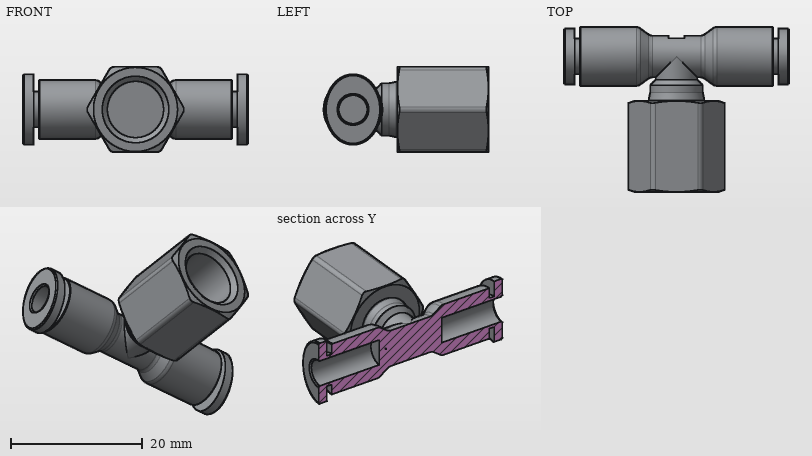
import cadquery as cq
import math

run_half_length = 17.1
collar_thickness = 1.6
collar_half_width = 4.28
collar_half_height = 5.37
collar_chamfer = 0.2
neck_radius = 2.75
body_diameter = 9.0
body_radius = body_diameter / 2
body_end = 14.67
body_chamfer = 0.1
shoulder_start = 4.0
shoulder_end = 5.8
shoulder_blend = 1.03
middle_radius = 3.18
tube_bore_radius = 2.15
tube_bore_chamfer = 0.25
tube_bore_floor = shoulder_end

notch_width = 2.4
notch_depth = 0.38

stem_cone_start = 3.52
stem_radius = 4.0
stem_cone_end = 4.35
stem_taper_start = 5.4
stem_taper_end = 6.53
stem_taper_radius = 4.25

nut_start = 6.75
overall_depth = 25.1
nut_end = overall_depth - body_radius
nut_across_flats = 13.0
nut_edge_fillet = 0.9
nut_face_radius = 6.4
nut_bevel_angle = 20.0
nut_bore_radius = 4.28
nut_bore_chamfer = 0.8
nut_bore_depth = 10.0


def make_run():
    """Middle tube, conical shoulders, bodies and necks turned about X."""
    neck_end = run_half_length - collar_thickness / 2
    half = [
        (shoulder_start, middle_radius),
        (shoulder_end, body_radius),
        (body_end - body_chamfer, body_radius),
        (body_end, body_radius - body_chamfer),
        (body_end, neck_radius),
        (neck_end, neck_radius),
        (neck_end, 0),
    ]
    mirrored = [(-x, r) for x, r in reversed(half)]
    turned = cq.Workplane("XY").polyline(mirrored + half).close()
    turned = turned.revolve(360, (0, 0, 0), (1, 0, 0))
    pick_margin = 0.05
    for x, r in ((shoulder_start, middle_radius), (shoulder_end, body_radius)):
        for side in (-1, 1):
            box = cq.selectors.BoxSelector(
                (side * x - pick_margin, -r - pick_margin, -r - pick_margin),
                (side * x + pick_margin, r + pick_margin, r + pick_margin),
                boundingbox=True,
            )
            turned = turned.edges(box).fillet(shoulder_blend)
    return turned


def make_collar():
    """Oval release collar at the +X end."""
    return (
        cq.Workplane("YZ", origin=(run_half_length - collar_thickness, 0, 0))
        .ellipse(collar_half_width, collar_half_height)
        .extrude(collar_thickness)
        .faces(">X")
        .chamfer(collar_chamfer)
    )


def make_tube_bore():
    """Blind tube socket with a chamfered mouth at the +X end."""
    mouth = run_half_length - tube_bore_chamfer
    profile = [
        (tube_bore_floor, 0),
        (tube_bore_floor, tube_bore_radius),
        (mouth, tube_bore_radius),
        (run_half_length, tube_bore_radius + tube_bore_chamfer),
        (run_half_length, 0),
    ]
    return cq.Workplane("XY").polyline(profile).close().revolve(360, (0, 0, 0), (1, 0, 0))


def turn_about_y(profile):
    """Revolve (radius, distance from the run axis) points about the branch axis."""
    points = [(radius, -distance) for radius, distance in profile]
    return cq.Workplane("XY").polyline(points).close().revolve(360, (0, 0, 0), (0, 1, 0))


def make_stem():
    """Branch stem; its straight root meets the equal middle tube in a mitre."""
    return turn_about_y([
        (0, 0),
        (middle_radius, 0),
        (middle_radius, stem_cone_start),
        (stem_radius, stem_cone_end),
        (stem_radius, stem_taper_start),
        (stem_taper_radius, stem_taper_end),
        (stem_taper_radius, nut_start),
        (0, nut_start),
    ])


def make_nut():
    """Hexagon with rounded edges and both ends bevelled towards the corners."""
    corner_radius = nut_across_flats / 2 / math.cos(math.pi / 6)
    hexagon = (
        cq.Workplane("XZ", origin=(0, -nut_start, 0))
        .polygon(6, 2 * corner_radius)
        .extrude(nut_end - nut_start)
        .edges("|Y")
        .fillet(nut_edge_fillet)
    )
    bevel = (corner_radius - nut_face_radius) * math.tan(math.radians(nut_bevel_angle))
    envelope = turn_about_y([
        (0, nut_start),
        (nut_face_radius, nut_start),
        (corner_radius, nut_start + bevel),
        (corner_radius, nut_end - bevel),
        (nut_face_radius, nut_end),
        (0, nut_end),
    ])
    return hexagon.intersect(envelope)


def make_nut_bore():
    """Blind bore with a chamfered mouth."""
    floor = nut_end - nut_bore_depth
    return turn_about_y([
        (0, floor),
        (nut_bore_radius, floor),
        (nut_bore_radius, nut_end - nut_bore_chamfer),
        (nut_bore_radius + nut_bore_chamfer, nut_end),
        (0, nut_end),
    ])


def make_notch():
    """Cutter that leaves a flat across the +Y side of the middle tube."""
    return cq.Workplane("XY").box(notch_width, 2 * notch_depth, 2 * middle_radius).translate(
        (0, middle_radius, 0)
    )


def both_ends(shape):
    """The +X shape together with its mirror image at -X."""
    return shape, shape.mirror("YZ")


result = make_run().union(make_stem()).union(make_nut())
for collar in both_ends(make_collar()):
    result = result.union(collar)
for bore in both_ends(make_tube_bore()):
    result = result.cut(bore)
result = result.cut(make_nut_bore()).cut(make_notch())